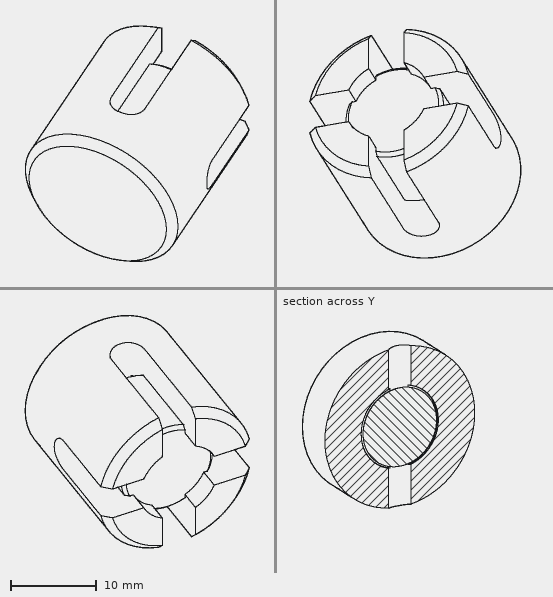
import cadquery as cq

cap_diameter = 20.0
cap_length = 21.0
cap_chamfer = 1.0

slot_width = 4.33
slot_corner_radius = 2.0
vertical_slot_end = 6.0
cross_slot_end = 8.5

bore_diameter = 10.2
screw_diameter = 12.0
screw_length = screw_diameter
screw_start = 6.3
screw_end = screw_start + screw_length
tip_chamfer = 1.25
rear_chamfer = 0.45


def round_bar(diameter, start, end):
    """Cylinder along the Y axis from start to end."""
    sketch_plane = cq.Workplane("XZ", origin=(0, start, 0))
    return sketch_plane.circle(diameter / 2).extrude(-(end - start))


def slot_cutter(closed_end):
    """Cutter for a slot through the whole cap along Z, with rounded corners at its closed end."""
    return (
        cq.Workplane("XY", origin=(0, closed_end, 0))
        .box(slot_width, cap_length - closed_end, cap_diameter, centered=(True, False, True))
        .edges("|Z and <Y")
        .fillet(slot_corner_radius)
    )


def make_cap(screw):
    """Round cap with chamfered ends, a blind bore and two crossing slots.

    The screw is wider than the bore, so its seat is cut to the screw's own shape.
    """
    blank = round_bar(cap_diameter, 0, cap_length).faces("<Y or >Y").chamfer(cap_chamfer)
    bore = round_bar(bore_diameter, screw_start, cap_length)
    vertical_slot = slot_cutter(vertical_slot_end)
    cross_slot = slot_cutter(cross_slot_end).rotate((0, 0, 0), (0, 1, 0), 90)
    return blank.cut(bore).cut(screw).cut(vertical_slot).cut(cross_slot)


def make_set_screw():
    """Screw body along Y with a long chamfer at the tip and a short one at the rear."""
    screw_radius = screw_diameter / 2
    return (
        cq.Workplane("XY")
        .moveTo(0, screw_start)
        .lineTo(screw_radius - tip_chamfer, screw_start)
        .lineTo(screw_radius, screw_start + tip_chamfer)
        .lineTo(screw_radius, screw_end - rear_chamfer)
        .lineTo(screw_radius - rear_chamfer, screw_end)
        .lineTo(0, screw_end)
        .close()
        .revolve(360, (0, 0, 0), (0, 1, 0))
    )


set_screw = make_set_screw()
cap = make_cap(set_screw)

result = cq.Compound.makeCompound([cap.val(), set_screw.val()])